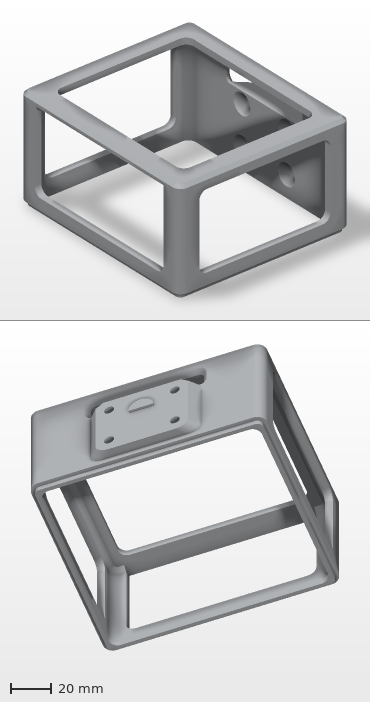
import cadquery as cq

body_x = 125.6
body_y = 110.5
total_z = 65.8
corner_radius = 5.3
edge_step = 2.1
bevel_height = 2.0
lip_height = 3.0

wall = 4.3
roof = 4.0
cavity_radius = 5.0
cavity_bevel = 3.0

window_radius = 5.0
top_margin = 12.2
window_bottom = 10.3
window_x = body_x - 2 * top_margin
side_window_y = 84.4
side_window_z = 48.2

slot_x = 60.0
slot_z = 10.3
slot_radius = 3.0
slot_flare = 2.5

boss_depth = 5.3
boss_base_x = 59.3
boss_face_x = 49.2
boss_bottom = 5.9
boss_top = 46.0
boss_top_bevel = 3.0
boss_bottom_radius = 5.3

total_y = 117.3
key_radius = 6.7
key_flat_z = 30.6

hole_diameter = 5.3
sink_diameter = 13.3
hole_pitch_x = 35.0
hole_pitch_z = 25.0

back_y = body_y / 2
boss_face_y = back_y + boss_depth
key_face_y = total_y - body_y / 2
boss_root_y = back_y - slot_flare
boss_root_x = boss_base_x + (boss_base_x - boss_face_x) * slot_flare / boss_depth
cavity_top = total_z - roof
wall_inner_y = back_y - wall


def rounded_block(size_x, size_y, radius, bottom, top):
    """Upright block with rounded vertical edges, centred on the Z axis."""
    block = cq.Workplane("XY").workplane(offset=bottom).rect(size_x, size_y).extrude(top - bottom)
    return block.edges("|Z").fillet(radius)


def opening(size_x, size_y, size_z, center, axis, radius):
    """Block that cuts a round-cornered opening running along one axis."""
    block = cq.Workplane("XY").box(size_x, size_y, size_z)
    return block.edges("|" + axis).fillet(radius).translate(center)


def make_shell():
    shell = rounded_block(body_x, body_y, corner_radius, lip_height, total_z)
    shell = shell.faces(">Z").edges().chamfer(bevel_height, edge_step)
    lip = rounded_block(
        body_x - 2 * edge_step, body_y - 2 * edge_step, corner_radius - edge_step, 0, lip_height
    )
    return shell.union(lip)


def make_cavity():
    cavity = rounded_block(body_x - 2 * wall, body_y - 2 * wall, cavity_radius, 0, cavity_top)
    return cavity.faces(">Z").edges().chamfer(cavity_bevel)


def make_boss():
    """Flared boss: wide at the wall, bevelled top corners and rounded bottom corners."""
    outline = [
        (-boss_root_x / 2, boss_root_y),
        (-boss_face_x / 2, boss_face_y),
        (boss_face_x / 2, boss_face_y),
        (boss_root_x / 2, boss_root_y),
    ]
    boss = cq.Workplane("XY").workplane(offset=boss_bottom).polyline(outline).close()
    boss = boss.extrude(boss_top - boss_bottom)
    boss = boss.faces(">Z").edges("not |X").chamfer(boss_top_bevel)
    return boss.faces("<Z").edges("not |X").fillet(boss_bottom_radius)


def make_key():
    disc = cq.Workplane("XZ", origin=(0, key_face_y, key_flat_z)).circle(key_radius)
    disc = disc.extrude(key_face_y - back_y)
    upper_half = cq.Workplane("XY").box(
        2 * key_radius, 2 * total_y, key_radius, centered=(True, True, False)
    )
    return disc.intersect(upper_half.translate((0, 0, key_flat_z)))


def cut_windows(part):
    top_window = opening(
        window_x, body_y - 2 * top_margin, 2 * roof, (0, 0, total_z), "Z", window_radius
    )
    side_window = opening(
        2 * body_x, side_window_y, side_window_z,
        (0, 0, window_bottom + side_window_z / 2), "X", window_radius,
    )
    front_z = cavity_top - window_bottom
    front_window = cq.Workplane("XY").box(window_x, 2 * top_margin, front_z)
    front_window = front_window.edges("|Y and <Z").fillet(window_radius)
    front_window = front_window.translate((0, -body_y / 2, window_bottom + front_z / 2))
    return part.cut(top_window).cut(side_window).cut(front_window)


def make_slot():
    """Slot through the back wall, flared at its outer rim."""
    center_z = boss_top + slot_z / 2
    slot = opening(slot_x, 2 * wall, slot_z, (0, back_y, center_z), "Y", slot_radius)
    rim = opening(
        slot_x + 2 * slot_flare, 2 * slot_flare, slot_z + 2 * slot_flare,
        (0, back_y, center_z), "Y", slot_radius + slot_flare,
    )
    rim = rim.faces("<Y").edges().chamfer(slot_flare)
    return slot.union(rim)


def cut_screw_holes(part):
    """Four holes through wall and boss, countersunk from inside the cavity."""
    center_z = (boss_bottom + boss_top) / 2
    drill_length = boss_face_y - wall_inner_y
    sink_depth = (sink_diameter - hole_diameter) / 2
    toward_back = cq.Vector(0, 1, 0)
    for side_x in (-1, 1):
        for side_z in (-1, 1):
            x = side_x * hole_pitch_x / 2
            z = center_z + side_z * hole_pitch_z / 2
            start = cq.Vector(x, wall_inner_y, z)
            drill = cq.Solid.makeCylinder(hole_diameter / 2, drill_length, start, toward_back)
            sink = cq.Solid.makeCone(
                sink_diameter / 2, hole_diameter / 2, sink_depth, start, toward_back
            )
            part = part.cut(cq.Workplane(drill)).cut(cq.Workplane(sink))
    return part


result = make_shell().cut(make_cavity()).cut(make_slot())
result = result.union(make_boss()).union(make_key())
result = cut_windows(result)
result = cut_screw_holes(result)